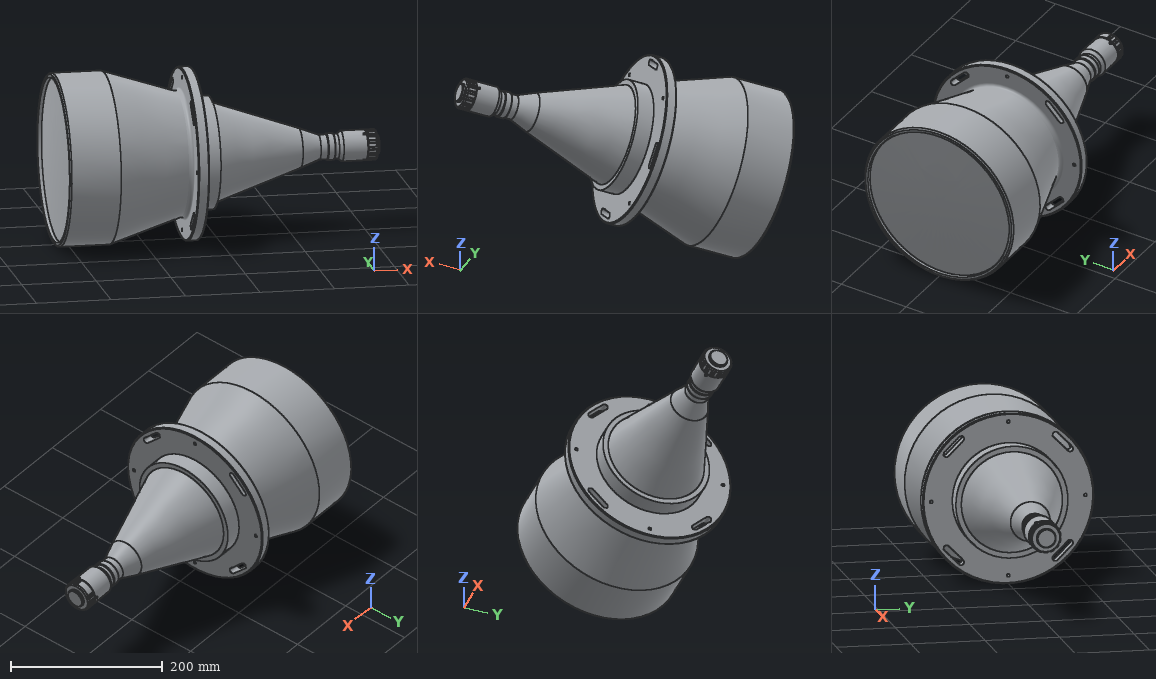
import cadquery as cq
import math

LENGTH = 435.5

HOOD_R = 115.0
HOOD_END = 68.5
HOOD_CHAMFER = 2.0
FRONT_CONE_END = 165.5
FRONT_CONE_END_R = 83.5
FLANGE_FRONT = 172.0
FLANGE_BACK = 187.0
FLANGE_CHAMFER = 1.5
FLANGE_COVE = 4.5
SPIGOT_END = 210.0
SPIGOT_R = 75.5
REAR_CONE_R = 68.0
JOINT_X = 329.7
JOINT_R = 26.5

OPENINGS_CIRCLE_R = 103.5
SLOT_WIDTH = 8.0
SLOT_LENGTH = 35.5
SLOT_COUNT = 4
PIN_HOLE_D = 4.0
PIN_HOLE_COUNT = 4

LENS_R = 109.5
LENS_SETBACK = 5.2
LENS_EDGE = 8.5
LENS_BULGE = 2.5

NECK_START = 356.0
NECK_R = 16.5
NECK_END = 380.5
SLEEVE_START = 386.0
SLEEVE_R = 20.5

SCREW_HOLE_D = 3.0
SCREW_HOLE_DEPTH = 4.5
SCREW_HOLE_COUNT = 3
SCREW_HOLE_X = 415.0

LOCK_RING_START = 365.5
LOCK_RING_END = 375.5
LOCK_RING_R = 18.0
LOCK_RING_CHAMFER = 1.0

MOUNT_START = 418.0
MOUNT_FRONT_CHAMFER = 1.0
MOUNT_RING_END = 432.0
MOUNT_BACK_BEVEL_LENGTH = 2.0
MOUNT_BACK_BEVEL_DROP = 1.7
TIP_R = 12.5
TIP_CHAMFER = 1.0
GRIP_PITCHES = 14
PLAIN_PITCHES = (4, 5)
GRIP_START = 420.0
GRIP_TOP_WIDTH = 5.0
GRIP_FLOOR_WIDTH = 2.5
GRIP_DEPTH = 1.7


def turned(profile):
    """Revolve a closed (x, z) outline, with z as the radius, about the X axis."""
    return profile.close().revolve(360, (0, 0, 0), (1, 0, 0))


def along_x(x):
    """YZ workplane at the given X, facing +X."""
    return cq.Workplane("YZ", origin=(x, 0, 0))


def around_x(tool, angle):
    return tool.rotate((0, 0, 0), (1, 0, 0), angle)


def lens_outline():
    """Outline of the lens: flat back, convex front face."""
    edge_x = LENS_SETBACK
    sphere_r = (LENS_R**2 + LENS_BULGE**2) / (2 * LENS_BULGE)
    half_angle = math.asin(LENS_R / sphere_r) / 2
    middle = (
        edge_x - LENS_BULGE + sphere_r * (1 - math.cos(half_angle)),
        sphere_r * math.sin(half_angle),
    )
    return (
        cq.Workplane("XZ")
        .moveTo(edge_x + LENS_EDGE, 0)
        .lineTo(edge_x + LENS_EDGE, LENS_R)
        .lineTo(edge_x, LENS_R)
        .threePointArc(middle, (edge_x - LENS_BULGE, 0))
    )


def flange_slots():
    """Tangential through slots, starting at 45 degrees."""
    slot = (
        along_x(FLANGE_FRONT)
        .center(OPENINGS_CIRCLE_R, 0)
        .slot2D(SLOT_LENGTH, SLOT_WIDTH, 90)
        .extrude(FLANGE_BACK - FLANGE_FRONT)
    )
    return [around_x(slot, (i + 0.5) * 360 / SLOT_COUNT) for i in range(SLOT_COUNT)]


def make_housing():
    cove_start = FLANGE_FRONT - FLANGE_COVE
    cove_top_r = FRONT_CONE_END_R + FLANGE_COVE
    cove_sag = FLANGE_COVE * math.sqrt(0.5)
    cove_middle = (cove_start + cove_sag, cove_top_r - cove_sag)
    housing = turned(
        cq.Workplane("XZ")
        .moveTo(0, 0)
        .lineTo(0, HOOD_R - HOOD_CHAMFER)
        .lineTo(HOOD_CHAMFER, HOOD_R)
        .lineTo(HOOD_END, HOOD_R)
        .lineTo(FRONT_CONE_END, FRONT_CONE_END_R)
        .lineTo(cove_start, FRONT_CONE_END_R)
        .threePointArc(cove_middle, (FLANGE_FRONT, cove_top_r))
        .lineTo(FLANGE_FRONT, HOOD_R - FLANGE_CHAMFER)
        .lineTo(FLANGE_FRONT + FLANGE_CHAMFER, HOOD_R)
        .lineTo(FLANGE_BACK - FLANGE_CHAMFER, HOOD_R)
        .lineTo(FLANGE_BACK, HOOD_R - FLANGE_CHAMFER)
        .lineTo(FLANGE_BACK, SPIGOT_R)
        .lineTo(SPIGOT_END, SPIGOT_R)
        .lineTo(SPIGOT_END, REAR_CONE_R)
        .lineTo(JOINT_X, JOINT_R)
        .lineTo(JOINT_X, 0)
    )
    lens_seat = along_x(0).circle(LENS_R).extrude(LENS_SETBACK + LENS_EDGE)
    pin_holes = (
        along_x(FLANGE_FRONT)
        .polarArray(OPENINGS_CIRCLE_R, 0, 360, PIN_HOLE_COUNT)
        .circle(PIN_HOLE_D / 2)
        .extrude(FLANGE_BACK - FLANGE_FRONT)
    )
    housing = housing.cut(lens_seat).cut(pin_holes)
    for slot in flange_slots():
        housing = housing.cut(slot)
    return housing


def make_front_lens():
    return turned(lens_outline())


def make_barrel():
    barrel = turned(
        cq.Workplane("XZ")
        .moveTo(JOINT_X, 0)
        .lineTo(JOINT_X, JOINT_R)
        .lineTo(NECK_START, NECK_R)
        .lineTo(NECK_END, NECK_R)
        .lineTo(SLEEVE_START, SLEEVE_R)
        .lineTo(MOUNT_START, SLEEVE_R)
        .lineTo(MOUNT_START, 0)
    )
    screw_hole = (
        cq.Workplane("XZ", origin=(SCREW_HOLE_X, SLEEVE_R - SCREW_HOLE_DEPTH, 0))
        .circle(SCREW_HOLE_D / 2)
        .extrude(-2 * SCREW_HOLE_DEPTH)
    )
    for i in range(SCREW_HOLE_COUNT):
        barrel = barrel.cut(around_x(screw_hole, i * 360 / SCREW_HOLE_COUNT))
    return barrel


def make_lock_ring():
    return turned(
        cq.Workplane("XZ")
        .moveTo(LOCK_RING_START, NECK_R)
        .lineTo(LOCK_RING_START, LOCK_RING_R - LOCK_RING_CHAMFER)
        .lineTo(LOCK_RING_START + LOCK_RING_CHAMFER, LOCK_RING_R)
        .lineTo(LOCK_RING_END - LOCK_RING_CHAMFER, LOCK_RING_R)
        .lineTo(LOCK_RING_END, LOCK_RING_R - LOCK_RING_CHAMFER)
        .lineTo(LOCK_RING_END, NECK_R)
    )


def grip_groove():
    """Groove with sloping sides on the -Y side of the mount, open at its back end."""
    side_slope = (GRIP_TOP_WIDTH - GRIP_FLOOR_WIDTH) / 2 / GRIP_DEPTH
    floor_y = GRIP_DEPTH - SLEEVE_R
    mouth_y = -GRIP_DEPTH - SLEEVE_R
    floor_half = GRIP_FLOOR_WIDTH / 2
    mouth_half = floor_half + side_slope * (floor_y - mouth_y)
    return (
        along_x(GRIP_START)
        .moveTo(floor_y, -floor_half)
        .lineTo(floor_y, floor_half)
        .lineTo(mouth_y, mouth_half)
        .lineTo(mouth_y, -mouth_half)
        .close()
        .extrude(MOUNT_RING_END - GRIP_START)
    )


def make_camera_mount():
    mount = turned(
        cq.Workplane("XZ")
        .moveTo(MOUNT_START, 0)
        .lineTo(MOUNT_START, SLEEVE_R - MOUNT_FRONT_CHAMFER)
        .lineTo(MOUNT_START + MOUNT_FRONT_CHAMFER, SLEEVE_R)
        .lineTo(MOUNT_RING_END - MOUNT_BACK_BEVEL_LENGTH, SLEEVE_R)
        .lineTo(MOUNT_RING_END, SLEEVE_R - MOUNT_BACK_BEVEL_DROP)
        .lineTo(MOUNT_RING_END, TIP_R)
        .lineTo(LENGTH - TIP_CHAMFER, TIP_R)
        .lineTo(LENGTH, TIP_R - TIP_CHAMFER)
        .lineTo(LENGTH, 0)
    )
    groove = grip_groove()
    for i in range(GRIP_PITCHES):
        if i not in PLAIN_PITCHES:
            mount = mount.cut(around_x(groove, -i * 360 / GRIP_PITCHES))
    return mount


housing = make_housing()
front_lens = make_front_lens()
barrel = make_barrel()
lock_ring = make_lock_ring()
camera_mount = make_camera_mount()

result = cq.Compound.makeCompound(
    [housing.val(), front_lens.val(), barrel.val(), lock_ring.val(), camera_mount.val()]
)